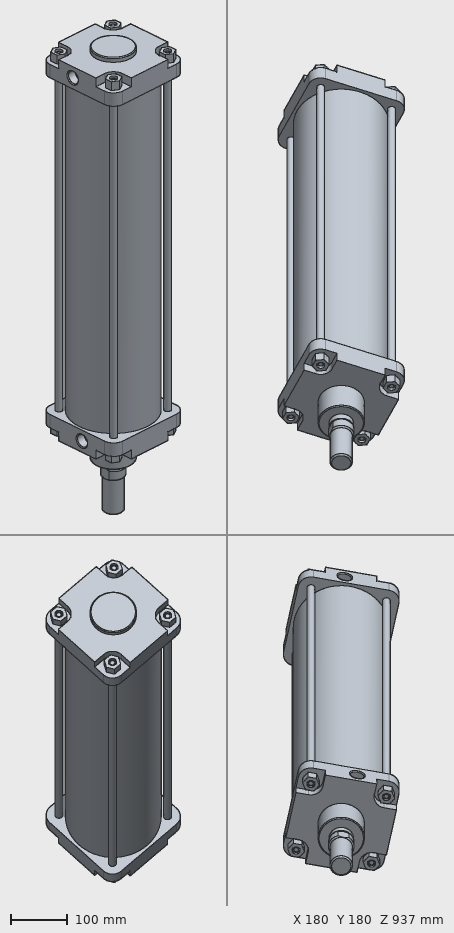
import cadquery as cq

total_height = 937.0

cap_side = 180.0
cap_thickness = 45.0
cap_corner_radius = 22.5
upper_boss_height = 9.0
lower_boss_length = 53.0
boss_diameter = 81.5
boss_chamfer = 2.0

notch_half_gap = 46.0
notch_depth = 18.0

port_diameter = 24.0
port_offset = 11.0
port_chamfer = 2.0
port_depth = 19.0

barrel_diameter = 169.0

tie_offset = 67.0
tie_diameter = 14.0
nut_across_corners = 30.0
nut_recess = 3.0
tie_end_chamfer = 3.0

lower_cap_bottom = 157.0
thread_length = 70.0
thread_diameter = 39.0
thread_chamfer = 3.0
collar_length = 22.5
collar_diameter = 45.0
collar_chamfer = 3.0
flat_width = 40.0
neck_diameter = 43.0

lower_cap_top = lower_cap_bottom + cap_thickness
upper_cap_top = total_height - upper_boss_height
upper_cap_bottom = upper_cap_top - cap_thickness
barrel_length = upper_cap_bottom - lower_cap_top
notch_corner_radius = tie_offset - notch_half_gap
collar_top = thread_length + collar_length
tie_positions = [(sx * tie_offset, sy * tie_offset) for sx in (-1, 1) for sy in (-1, 1)]


def cylinder(diameter, bottom, height):
    """Upright cylinder on the central axis."""
    return cq.Workplane("XY").workplane(offset=bottom).circle(diameter / 2).extrude(height)


def corner_notches(bottom):
    """Four corner cutters, each with its inner edge rounded about the tie rod axis."""
    size = cap_side / 2
    centre = notch_half_gap + size / 2
    cutter = (
        cq.Workplane("XY")
        .workplane(offset=bottom)
        .center(centre, centre)
        .rect(size, size)
        .extrude(notch_depth)
        .edges("|Z and <X and <Y")
        .fillet(notch_corner_radius)
    )
    notches = cutter
    for quarter in range(1, 4):
        notches = notches.add(cutter.rotate((0, 0, 0), (0, 0, 1), 90 * quarter))
    return notches.combine()


def cap_block(bottom, notch_bottom, port_x):
    """Square cap with rounded corners, nut notches, tie rod holes and a chamfered port in the -Y face."""
    block = (
        cq.Workplane("XY")
        .workplane(offset=bottom)
        .rect(cap_side, cap_side)
        .extrude(cap_thickness)
        .edges("|Z")
        .fillet(cap_corner_radius)
    )
    tie_holes = (
        cq.Workplane("XY")
        .workplane(offset=bottom)
        .pushPoints(tie_positions)
        .circle(tie_diameter / 2)
        .extrude(cap_thickness)
    )
    port_plane = cq.Workplane("XZ", origin=(port_x, -cap_side / 2, bottom + cap_thickness / 2))
    port_mouth = port_plane.circle(port_diameter / 2 + port_chamfer).extrude(-port_chamfer, taper=45)
    port = port_plane.circle(port_diameter / 2).extrude(-port_depth).union(port_mouth)
    return block.cut(corner_notches(notch_bottom)).cut(tie_holes).cut(port)


def make_upper_cap():
    """Closed cap with a low round boss on top."""
    boss = cylinder(boss_diameter, upper_cap_top, upper_boss_height).faces(">Z").chamfer(boss_chamfer)
    return cap_block(upper_cap_bottom, upper_cap_top - notch_depth, -port_offset).union(boss)


def make_lower_cap():
    """Rod-side cap with a long guide boss, bored through for the piston rod."""
    boss_bottom = lower_cap_bottom - lower_boss_length
    boss = cylinder(boss_diameter, boss_bottom, lower_boss_length).faces("<Z").chamfer(boss_chamfer)
    rod_bore = cylinder(neck_diameter, boss_bottom, lower_boss_length + cap_thickness)
    return cap_block(lower_cap_bottom, lower_cap_bottom, port_offset).union(boss).cut(rod_bore)


def make_piston_rod():
    """Piston rod with a threaded end, a collar with two wrench flats, and a neck."""
    thread = cylinder(thread_diameter, 0, thread_length).faces("<Z").chamfer(thread_chamfer)
    collar = cylinder(collar_diameter, thread_length, collar_length).edges().chamfer(collar_chamfer)
    flats = (
        cq.Workplane("XY")
        .workplane(offset=thread_length)
        .rect(collar_diameter, flat_width)
        .extrude(collar_length)
    )
    neck = cylinder(neck_diameter, collar_top, lower_cap_top - collar_top)
    return thread.union(collar.intersect(flats)).union(neck)


def make_tie_rod(x, y):
    """Tie rod with one nut at each end; the rod ends sit inside the nuts."""
    rod_bottom = lower_cap_bottom + nut_recess
    rod_length = upper_cap_top - nut_recess - rod_bottom
    rod = cylinder(tie_diameter, rod_bottom, rod_length).faces("<Z or >Z").chamfer(tie_end_chamfer)
    for nut_bottom in (lower_cap_bottom, upper_cap_top - notch_depth):
        nut = (
            cq.Workplane("XY")
            .workplane(offset=nut_bottom)
            .polygon(6, nut_across_corners)
            .circle(tie_diameter / 2)
            .extrude(notch_depth)
        )
        rod = rod.union(nut)
    return rod.translate((x, y, 0))


upper_cap = make_upper_cap()
lower_cap = make_lower_cap()
barrel = cylinder(barrel_diameter, lower_cap_top, barrel_length)
piston_rod = make_piston_rod()
tie_rods = [make_tie_rod(x, y) for x, y in tie_positions]

result = cq.Compound.makeCompound(
    [
        upper_cap.val(),
        lower_cap.val(),
        barrel.val(),
        piston_rod.val(),
        *[tie_rod.val() for tie_rod in tie_rods],
    ]
)